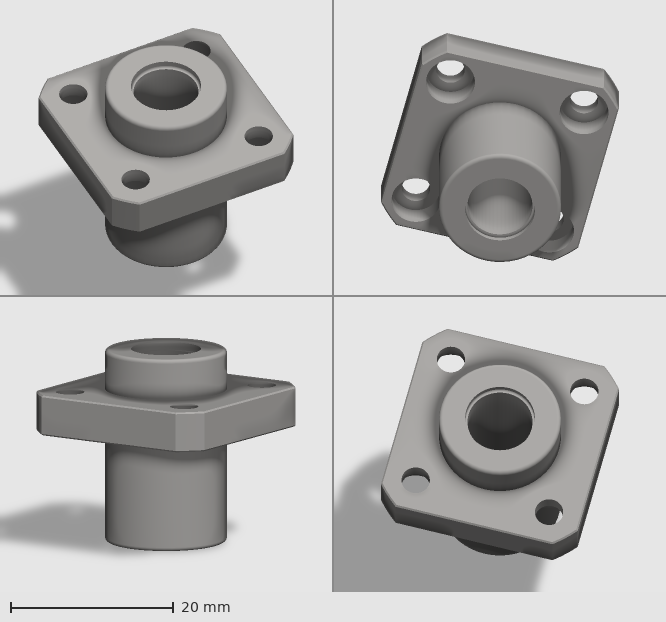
import cadquery as cq

sleeve_diameter = 15.0
sleeve_length = 24.0
sleeve_end_fillet = 0.48

bore_diameter = 8.0
mouth_diameter = 8.6
groove_diameter = 9.2
mouth_depth = 0.7
groove_width = 0.3

flange_trim_diameter = 31.98
flange_side = 25.0
flange_bottom = 14.0
flange_thickness = 5.0
flange_chamfer = 0.2

screw_circle_diameter = 24.0
screw_hole_diameter = 3.5
counterbore_diameter = 6.0
counterbore_depth = 3.1


def cylinder(diameter, bottom, height):
    """Cylinder on the Z axis."""
    return cq.Workplane("XY").workplane(offset=bottom).circle(diameter / 2).extrude(height)


def make_sleeve():
    return cylinder(sleeve_diameter, 0, sleeve_length).edges("%CIRCLE").fillet(sleeve_end_fillet)


def make_flange():
    square = (
        cq.Workplane("XY")
        .workplane(offset=flange_bottom)
        .transformed(rotate=(0, 0, 45))
        .rect(flange_side, flange_side)
        .extrude(flange_thickness)
    )
    trim = cylinder(flange_trim_diameter, flange_bottom, flange_thickness)
    return square.intersect(trim).faces("<Z or >Z").edges().chamfer(flange_chamfer)


def screw_cutters(diameter, height):
    """Four cylinders rising from the underside of the flange."""
    return (
        cq.Workplane("XY")
        .workplane(offset=flange_bottom)
        .polarArray(screw_circle_diameter / 2, 0, 360, 4)
        .circle(diameter / 2)
        .extrude(height)
    )


def cut_screw_holes(flange):
    flange = flange.cut(screw_cutters(screw_hole_diameter, flange_thickness))
    return flange.cut(screw_cutters(counterbore_diameter, counterbore_depth))


def cut_bore(body):
    body = body.cut(cylinder(bore_diameter, 0, sleeve_length))
    groove_depth = mouth_depth + groove_width
    for mouth_bottom in (0, sleeve_length - mouth_depth):
        body = body.cut(cylinder(mouth_diameter, mouth_bottom, mouth_depth))
    for groove_bottom in (mouth_depth, sleeve_length - groove_depth):
        body = body.cut(cylinder(groove_diameter, groove_bottom, groove_width))
    return body


flange = cut_screw_holes(make_flange())
result = cut_bore(make_sleeve().union(flange))